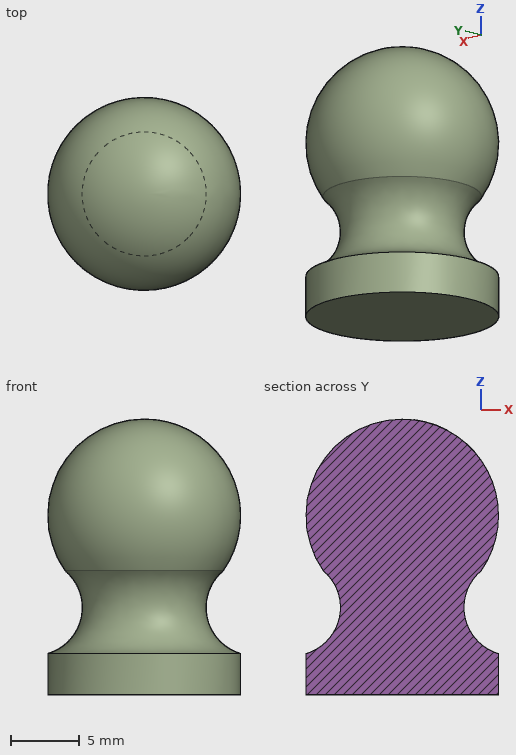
import cadquery as cq
import math

total_height = 20.0
ball_radius = 7.0
base_radius = 7.0
base_height = 3.0
neck_top_height = 9.0
waist_radius = 4.5
waist_height = 6.2

ball_center_height = total_height - ball_radius
neck_top_radius = math.sqrt(ball_radius**2 - (ball_center_height - neck_top_height) ** 2)


def make_knob():
    """Revolve the half profile: disc base, concave neck and ball."""
    profile = (
        cq.Workplane("XZ")
        .lineTo(base_radius, 0)
        .lineTo(base_radius, base_height)
        .threePointArc((waist_radius, waist_height), (neck_top_radius, neck_top_height))
        .threePointArc((ball_radius, ball_center_height), (0, total_height))
        .close()
    )
    return profile.revolve(360, (0, 0, 0), (0, 1, 0))


result = make_knob()